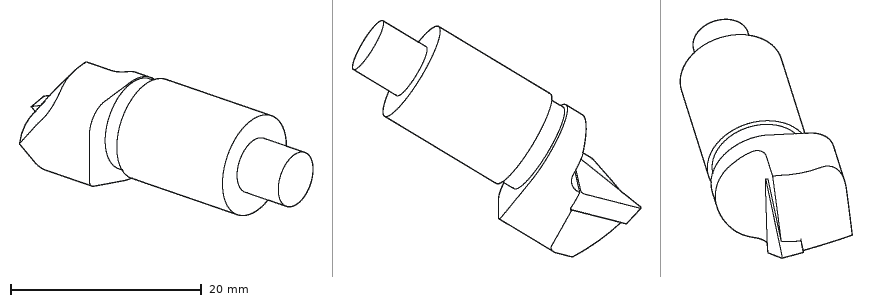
import cadquery as cq
import math

length = 33.85
shank_radius = 11.0 / 2
groove_radius = 10.0 / 2
pin_radius = 6.0 / 2
head_end = 12.5
groove_end = 14.42
shank_end = 28.4

head_radius = 5.7
head_center_y = -0.17
head_center_z = -0.5
side_y = -7.703
top_slope = 6.4
bottom_slope = 15.0
top_edge_radius = 2.98
bottom_edge_radius = 1.0

nose_low = (1.45, -0.3)
nose_ridge = (3.45, 2.27)
nose_high = (5.93, 5.15)
nose_relief_radius = 13.88

insert_face_y = 0.5
insert_thickness = 2.37
insert_relief = 7.0
insert_corner_radius = 0.3
insert_tip_z = -0.98
insert_bottom_z = -6.518
cutting_angle = 37.0
flank_setback = 0.15

pocket_floor_y = 0.27
pocket_corner_radius = 2.5 / 2
pocket_wall_x = 9.9
pocket_bend_y = 3.45
pocket_outer_shift = 0.4
pocket_lean = 90 - (120 - cutting_angle)

big = 33.85


def make_shank():
    groove = cq.Workplane("YZ", origin=(head_end, 0, 0)).circle(groove_radius).extrude(groove_end - head_end)
    body = cq.Workplane("YZ", origin=(groove_end, 0, 0)).circle(shank_radius).extrude(shank_end - groove_end)
    pin = cq.Workplane("YZ", origin=(shank_end, 0, 0)).circle(pin_radius).extrude(length - shank_end)
    return groove.union(body).union(pin)


def make_head_blank():
    """Round-backed bar with sloping top and bottom and a flat -Y side."""
    top = (head_center_y, head_center_z + head_radius)
    back = (head_center_y + head_radius, head_center_z)
    slope = math.radians(bottom_slope)
    bottom = (
        head_center_y - head_radius * math.sin(slope),
        head_center_z - head_radius * math.cos(slope),
    )
    top_corner = (side_y, top[1] - (top[0] - side_y) * math.tan(math.radians(top_slope)))
    bottom_corner = (side_y, bottom[1] + (bottom[0] - side_y) * math.tan(slope))
    blank = (
        cq.Workplane("YZ")
        .moveTo(*bottom)
        .threePointArc(back, top)
        .lineTo(*top_corner)
        .lineTo(*bottom_corner)
        .close()
        .extrude(head_end)
    )
    blank = blank.edges(cq.selectors.NearestToPointSelector((head_end / 2, *top_corner))).fillet(top_edge_radius)
    return blank.edges(
        cq.selectors.NearestToPointSelector((head_end / 2, *bottom_corner))
    ).fillet(bottom_edge_radius)


def nose_envelope(start, end):
    """Large cylinder whose surface touches the line from start to end at the pocket floor."""
    run = math.dist(start, end)
    dir_x = (end[0] - start[0]) / run
    dir_z = (end[1] - start[1]) / run
    axis_point = (
        start[0] + nose_relief_radius * dir_z - big * dir_x,
        pocket_floor_y,
        start[1] - nose_relief_radius * dir_x - big * dir_z,
    )
    plane = cq.Plane(origin=axis_point, xDir=(0, 1, 0), normal=(dir_x, 0, dir_z))
    return cq.Workplane(plane).circle(nose_relief_radius).extrude(2 * big)


def insert_corner_centers():
    cut = math.radians(cutting_angle)
    rise = math.radians(60 - cutting_angle)
    tip = (insert_corner_radius, insert_tip_z)
    side = (insert_tip_z - insert_bottom_z - insert_corner_radius) / math.sin(cut)
    low = (tip[0] + side * math.cos(cut), tip[1] - side * math.sin(cut))
    high = (tip[0] + side * math.cos(rise), tip[1] + side * math.sin(rise))
    return [tip, low, high]


def make_insert():
    return (
        cq.Workplane("XZ", origin=(0, insert_face_y, 0))
        .polyline(insert_corner_centers())
        .close()
        .offset2D(insert_corner_radius)
        .extrude(insert_thickness, taper=insert_relief)
    )


def flank_cutter():
    """Everything beyond the relieved flank that lies just behind the cutting edge."""
    cut = math.radians(cutting_angle)
    relief = math.radians(insert_relief)
    out_x = -math.sin(cut)
    out_z = -math.cos(cut)
    tip = insert_corner_centers()[0]
    offset = insert_corner_radius - flank_setback
    origin = (tip[0] + offset * out_x, insert_face_y, tip[1] + offset * out_z)
    normal = (out_x * math.cos(relief), -math.sin(relief), out_z * math.cos(relief))
    plane = cq.Plane(origin=origin, xDir=(math.cos(cut), 0, -math.sin(cut)), normal=normal)
    return cq.Workplane(plane).rect(2 * big, 2 * big).extrude(big)


def pocket_cutter():
    """Chip pocket section swept along its leaning end wall."""
    outer_y = head_center_y + head_radius
    outer_x = pocket_wall_x + pocket_outer_shift
    wall_start_y = pocket_floor_y + pocket_corner_radius
    section = (
        cq.Workplane("XY")
        .moveTo(-big, pocket_floor_y)
        .lineTo(pocket_wall_x - pocket_corner_radius, pocket_floor_y)
        .radiusArc((pocket_wall_x, wall_start_y), -pocket_corner_radius)
        .lineTo(pocket_wall_x, pocket_bend_y)
        .lineTo(outer_x, outer_y)
        .lineTo(outer_x, big)
        .lineTo(-big, big)
        .close()
        .extrude(big, both=True)
    )
    return section.rotate((pocket_wall_x, 0, 0), (pocket_wall_x, 1, 0), pocket_lean)


def make_holder(insert):
    head = make_head_blank()
    head = head.intersect(nose_envelope(nose_low, nose_ridge))
    head = head.intersect(nose_envelope(nose_ridge, nose_high))
    head = head.cut(flank_cutter()).cut(pocket_cutter()).cut(insert)
    return head.union(make_shank())


insert = make_insert()
holder = make_holder(insert)

result = cq.Compound.makeCompound([holder.val(), insert.val()])